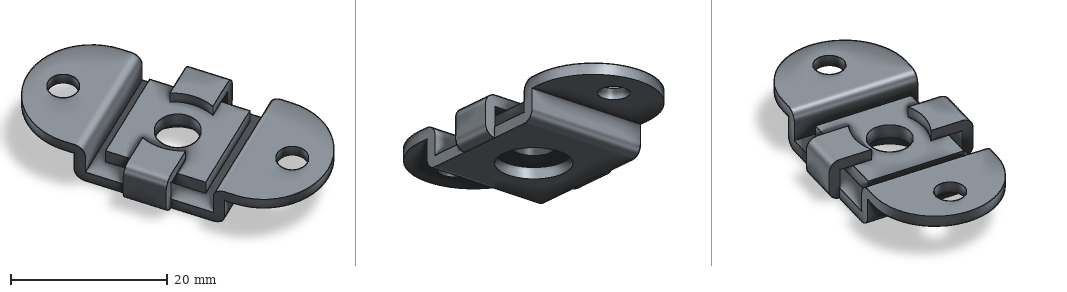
import cadquery as cq
import math

length = 42.0
width = 18.0
height = 6.0
sheet = 1.6
bend_radius = sheet
channel_width = 17.85

mount_hole_diameter = 4.2
mount_hole_spacing = 32.0

tab_width = 6.0
tab_span = 21.0
tab_tip_gap = 10.1
tab_tip_radius = 6.8

floor_hole_diameter = 10.0

nut_side = 14.0
nut_thickness = 2.0
nut_hole_diameter = 6.0

CUT_MARGIN = 0.4
cut_height = height + 2 * CUT_MARGIN


def vertical_cutter(diameter, x=0, cutter_height=cut_height):
    """A round cutter rising from below the part, centred at x on the X axis."""
    return (
        cq.Workplane("XY")
        .workplane(offset=-CUT_MARGIN)
        .center(x, 0)
        .circle(diameter / 2)
        .extrude(cutter_height)
    )


def make_strip():
    """The bent strip: raised round ends joined by a lower channel."""
    inner_x = channel_width / 2
    outer_x = inner_x + sheet
    end_x = length / 2
    ends_bottom = height - sheet
    profile = (
        cq.Workplane("XZ")
        .moveTo(-end_x, height)
        .lineTo(-inner_x - bend_radius, height)
        .radiusArc((-inner_x, height - bend_radius), bend_radius)
        .lineTo(-inner_x, sheet)
        .lineTo(inner_x, sheet)
        .lineTo(inner_x, height - bend_radius)
        .radiusArc((inner_x + bend_radius, height), bend_radius)
        .lineTo(end_x, height)
        .lineTo(end_x, ends_bottom)
        .lineTo(outer_x, ends_bottom)
        .lineTo(outer_x, bend_radius)
        .radiusArc((outer_x - bend_radius, 0), bend_radius)
        .lineTo(-outer_x + bend_radius, 0)
        .radiusArc((-outer_x, bend_radius), bend_radius)
        .lineTo(-outer_x, ends_bottom)
        .lineTo(-end_x, ends_bottom)
        .close()
        .extrude(width / 2, both=True)
    )
    outline = cq.Workplane("XY").slot2D(length, width).extrude(height)
    return profile.intersect(outline)


def make_tabs():
    """Both C-shaped tabs, joined by a band in the channel floor."""
    band = (
        cq.Workplane("XY")
        .box(tab_width, tab_span, height, centered=(True, True, False))
        .edges("|X")
        .fillet(bend_radius)
    )
    inside = (
        cq.Workplane("XY")
        .workplane(offset=sheet)
        .rect(tab_width, tab_span - 2 * sheet)
        .extrude(height - 2 * sheet)
    )
    tabs = band.cut(inside)

    half_tab = tab_width / 2
    tip_y = tab_tip_gap / 2
    corner_y = tip_y - tab_tip_radius + math.sqrt(tab_tip_radius**2 - half_tab**2)
    opening = (
        cq.Workplane("XY")
        .workplane(offset=height - sheet)
        .moveTo(-half_tab, corner_y)
        .threePointArc((0, tip_y), (half_tab, corner_y))
        .lineTo(half_tab, -corner_y)
        .threePointArc((0, -tip_y), (-half_tab, -corner_y))
        .close()
        .extrude(sheet)
    )
    return tabs.cut(opening)


def make_bracket():
    bracket = make_strip().union(make_tabs())
    for side in (-1, 1):
        bracket = bracket.cut(vertical_cutter(mount_hole_diameter, side * mount_hole_spacing / 2))
    return bracket.cut(vertical_cutter(floor_hole_diameter, cutter_height=sheet + 2 * CUT_MARGIN))


def make_nut():
    nut_bottom = height - sheet - nut_thickness
    return (
        cq.Workplane("XY")
        .workplane(offset=nut_bottom)
        .rect(nut_side, nut_side)
        .extrude(nut_thickness)
        .cut(vertical_cutter(nut_hole_diameter))
    )


bracket = make_bracket()
nut = make_nut()
result = cq.Compound.makeCompound([bracket.val(), nut.val()])